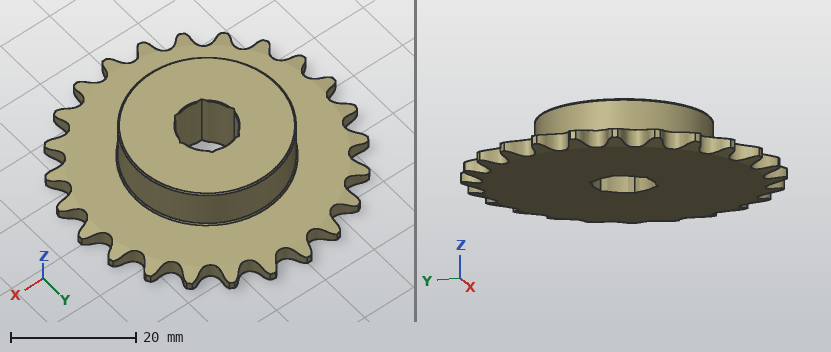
import cadquery as cq
import math

TEETH = 24
CHAIN_PITCH = 6.35
ROLLER_DIAMETER = 3.302
STANDARD_ALLOWANCE = 0.0381

PLATE_THICKNESS = 2.794
TIP_THICKNESS = 1.4
BEVEL_START_RADIUS = 22.86

OVERALL_HEIGHT = 10.287
HUB_DIAMETER = 28.5
HUB_EDGE_CHAMFER = 0.25
HUB_BASE_FLARE = 0.25

HEX_ACROSS_FLATS = 9.6
BORE_DIAMETER = 10.16
BORE_CHAMFER = 0.15

TOOTH_ANGLE = 360 / TEETH
HALF_TOOTH = math.radians(180 / TEETH)
PITCH_RADIUS = CHAIN_PITCH / (2 * math.sin(HALF_TOOTH))
OUTSIDE_RADIUS = CHAIN_PITCH * (0.6 + 1 / math.tan(HALF_TOOTH)) / 2

SEATING_RADIUS = 0.5025 * ROLLER_DIAMETER + STANDARD_ALLOWANCE
WORKING_RADIUS = 1.3025 * ROLLER_DIAMETER + STANDARD_ALLOWANCE
WORKING_CENTER_OFFSET = 0.8 * ROLLER_DIAMETER
TOPPING_CENTER_OFFSET = 1.4 * ROLLER_DIAMETER
SEATING_END_ANGLE = math.radians(35 + 60 / TEETH)
WORKING_SWEEP = math.radians(18 - 56 / TEETH)
WORKING_END_ANGLE = SEATING_END_ANGLE - WORKING_SWEEP
TOPPING_RADIUS = (
    WORKING_CENTER_OFFSET * math.cos(WORKING_SWEEP)
    + TOPPING_CENTER_OFFSET * math.cos(WORKING_END_ANGLE - HALF_TOOTH)
    - WORKING_RADIUS
)


def offset_point(center, radius, angle):
    """Point at a radius and an angle (radians) from a center."""
    return (center[0] + radius * math.cos(angle), center[1] + radius * math.sin(angle))


def flank_points():
    """Right-hand side of a tooth gap centered on +Y, from its root to the tooth tip."""
    roller_center = (0, PITCH_RADIUS)
    working_center = offset_point(roller_center, WORKING_CENTER_OFFSET, math.pi - SEATING_END_ANGLE)
    topping_center = offset_point(roller_center, TOPPING_CENTER_OFFSET, -HALF_TOOTH)

    seating_end = offset_point(roller_center, SEATING_RADIUS, -SEATING_END_ANGLE)
    working_middle_angle = (SEATING_END_ANGLE + WORKING_END_ANGLE) / 2
    working_middle = offset_point(working_center, WORKING_RADIUS, -working_middle_angle)
    working_end = offset_point(working_center, WORKING_RADIUS, -WORKING_END_ANGLE)

    topping_center_radius = math.hypot(*topping_center)
    topping_center_angle = math.atan2(topping_center[1], topping_center[0])
    cosine = (topping_center_radius**2 + OUTSIDE_RADIUS**2 - TOPPING_RADIUS**2) / (
        2 * topping_center_radius * OUTSIDE_RADIUS
    )
    tip = offset_point((0, 0), OUTSIDE_RADIUS, topping_center_angle + math.acos(cosine))

    topping_start_angle = math.pi - WORKING_END_ANGLE
    topping_end_angle = math.atan2(tip[1] - topping_center[1], tip[0] - topping_center[0])
    topping_middle_angle = (topping_start_angle + topping_end_angle) / 2
    topping_start = offset_point(topping_center, TOPPING_RADIUS, topping_start_angle)
    topping_middle = offset_point(topping_center, TOPPING_RADIUS, topping_middle_angle)
    return [seating_end, working_middle, working_end, topping_start, topping_middle, tip]


def rotated(point, degrees):
    angle = math.radians(degrees)
    x, y = point
    return (
        x * math.cos(angle) - y * math.sin(angle),
        x * math.sin(angle) + y * math.cos(angle),
    )


def toothed_plate():
    """Flat plate with the full ring of teeth; one tooth is centered on +X."""
    right_side = flank_points()
    left_side = [(-x, y) for x, y in reversed(right_side)]
    root = (0, PITCH_RADIUS - SEATING_RADIUS)
    tooth_top = rotated((0, OUTSIDE_RADIUS), -TOOTH_ANGLE / 2)
    first_gap_turn = -TOOTH_ANGLE / 2

    outline = cq.Workplane("XY").moveTo(*rotated(left_side[0], first_gap_turn))
    for index in range(TEETH):
        turn = first_gap_turn - index * TOOTH_ANGLE
        gap_points = left_side[1:] + [root] + right_side
        next_tip = rotated(left_side[0], -TOOTH_ANGLE)
        (
            left_top_mid, left_top, left_work, left_work_mid, left_seat, seat_root,
            right_seat, right_work_mid, right_work, right_top, right_top_mid, right_tip,
            over_tip, gap_end,
        ) = [rotated(point, turn) for point in gap_points + [tooth_top, next_tip]]
        outline = (
            outline.threePointArc(left_top_mid, left_top)
            .lineTo(*left_work)
            .threePointArc(left_work_mid, left_seat)
            .threePointArc(seat_root, right_seat)
            .threePointArc(right_work_mid, right_work)
            .lineTo(*right_top)
            .threePointArc(right_top_mid, right_tip)
            .threePointArc(over_tip, gap_end)
        )
    return outline.close().extrude(PLATE_THICKNESS)


def tooth_bevel_envelope():
    """Disc thinned by a cone on both faces, from the bevel start out to the tooth tips."""
    tip_bottom = (PLATE_THICKNESS - TIP_THICKNESS) / 2
    tip_top = tip_bottom + TIP_THICKNESS
    profile = [
        (0, 0),
        (BEVEL_START_RADIUS, 0),
        (OUTSIDE_RADIUS, tip_bottom),
        (OUTSIDE_RADIUS, tip_top),
        (BEVEL_START_RADIUS, PLATE_THICKNESS),
        (0, PLATE_THICKNESS),
    ]
    return cq.Workplane("XZ").polyline(profile).close().revolve(360, (0, 0, 0), (0, 1, 0))


def hub():
    """Round hub with a chamfered top edge and a small conical flare at its base."""
    radius = HUB_DIAMETER / 2
    profile = [
        (0, 0),
        (radius + HUB_BASE_FLARE, 0),
        (radius + HUB_BASE_FLARE, PLATE_THICKNESS),
        (radius, PLATE_THICKNESS + HUB_BASE_FLARE),
        (radius, OVERALL_HEIGHT - HUB_EDGE_CHAMFER),
        (radius - HUB_EDGE_CHAMFER, OVERALL_HEIGHT),
        (0, OVERALL_HEIGHT),
    ]
    return cq.Workplane("XZ").polyline(profile).close().revolve(360, (0, 0, 0), (0, 1, 0))


def bore():
    """Hexagon with corners on the X axis, joined with a round hole chamfered at the hub face."""
    across_corners = HEX_ACROSS_FLATS / math.cos(math.radians(30))
    hexagon = cq.Workplane("XY").polygon(6, across_corners).extrude(OVERALL_HEIGHT)
    bore_radius = BORE_DIAMETER / 2
    round_profile = [
        (0, 0),
        (bore_radius, 0),
        (bore_radius, OVERALL_HEIGHT - BORE_CHAMFER),
        (bore_radius + BORE_CHAMFER, OVERALL_HEIGHT),
        (0, OVERALL_HEIGHT),
    ]
    round_hole = cq.Workplane("XZ").polyline(round_profile).close().revolve(360, (0, 0, 0), (0, 1, 0))
    return hexagon.union(round_hole)


result = toothed_plate().intersect(tooth_bevel_envelope()).union(hub()).cut(bore())